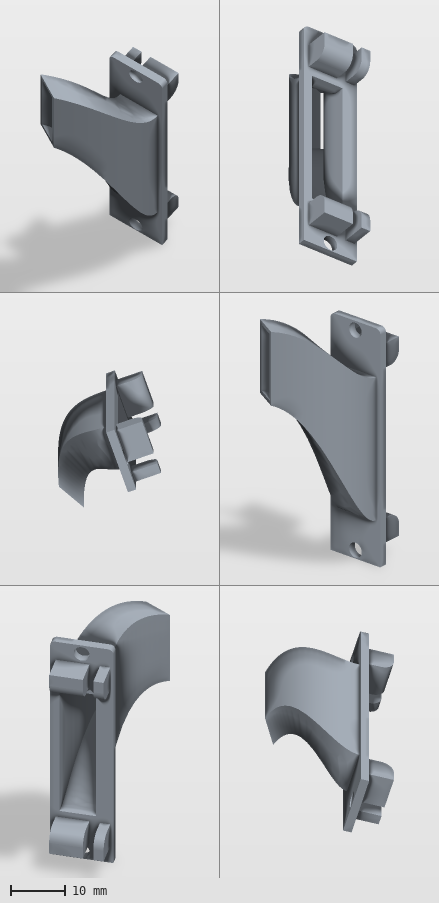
import cadquery as cq
import math

plate_width = 12.0
plate_height = 48.2
plate_thickness = 1.6
corner_radius = 1.0
hole_diameter = 3.0
lower_hole_z = 1.7
upper_hole_z = 46.3

tab_length = 5.0
tab_height = 4.9
tab_radius = 2.5
lower_tab_z = 3.75
upper_tab_z = 39.25
tab_spans = [(-5.4, -3.45), (-1.45, 4.9)]

wall = 0.8
base_left = -3.5
base_right = 4.95
base_bottom = 9.25
base_top = 38.3
mouth_left = -13.5
mouth_right = -8.25
mouth_left_reach = 11.25
mouth_right_reach = 14.3
mouth_bottom = 33.57
mouth_top = 48.55
left_base_pull = 3.9
left_mouth_pull = 10.7
left_mouth_angle = 18.0
right_base_pull = 5.85
right_mouth_pull = 10.7
right_mouth_angle = 14.0
top_mouth_rise = 1.85


def make_plate():
    plate = cq.Workplane("XY").box(
        plate_width, plate_thickness, plate_height, centered=(True, False, False)
    )
    plate = plate.edges("|Y and >Z").fillet(corner_radius)
    holes = (
        cq.Workplane("XZ")
        .pushPoints([(0, lower_hole_z), (0, upper_hole_z)])
        .circle(hole_diameter / 2)
        .extrude(-plate_thickness)
    )
    return plate.cut(holes)


def make_tab(left, right, bottom, rounded_edge):
    """Tab with its free edge rounded on the side facing the middle of the plate."""
    tab = cq.Workplane("XY").box(right - left, tab_length, tab_height, centered=False)
    tab = tab.edges("|X and >Y").edges(rounded_edge).fillet(tab_radius)
    return tab.translate((left, plate_thickness, bottom))


def rectangle_corners(left, right, bottom, top):
    """Corners around an upright rectangle whose left and right sides stand at (x, y) points."""
    return [
        cq.Vector(*left, bottom),
        cq.Vector(*right, bottom),
        cq.Vector(*right, top),
        cq.Vector(*left, top),
    ]


def make_rail(start, end, base_pull, mouth_pull, mouth_angle, mouth_rise):
    """Curved duct edge that leaves the plate squarely; mouth_rise lifts its mouth handle."""
    angle = math.radians(mouth_angle)
    base_handle = cq.Vector(0, -base_pull, 0)
    mouth_handle = cq.Vector(math.cos(angle), math.sin(angle), 0) * mouth_pull
    mouth_handle += cq.Vector(0, 0, mouth_rise)
    return cq.Edge.makeBezier([start, start + base_handle, end + mouth_handle, end])


def make_bent_body(inset):
    """Solid with four curved edges from the plate to the mouth, shrunk by inset."""
    base = rectangle_corners(
        (base_left + inset, 0), (base_right - inset, 0), base_bottom + inset, base_top - inset
    )
    mouth_x = mouth_right - mouth_left
    mouth_y = mouth_left_reach - mouth_right_reach
    mouth_width = math.hypot(mouth_x, mouth_y)
    inset_x = inset * mouth_x / mouth_width
    inset_y = inset * mouth_y / mouth_width
    mouth = rectangle_corners(
        (mouth_left + inset_x, -mouth_left_reach + inset_y),
        (mouth_right - inset_x, -mouth_right_reach - inset_y),
        mouth_bottom + inset,
        mouth_top - inset,
    )
    left_pulls = (left_base_pull, left_mouth_pull, left_mouth_angle)
    right_pulls = (right_base_pull, right_mouth_pull, right_mouth_angle)
    corner_pulls = [
        (*left_pulls, 0),
        (*right_pulls, 0),
        (*right_pulls, top_mouth_rise),
        (*left_pulls, top_mouth_rise),
    ]
    rails = [
        make_rail(start, end, *pulls)
        for start, end, pulls in zip(base, mouth, corner_pulls)
    ]
    sides = [cq.Face.makeRuledSurface(rails[i - 1], rails[i]) for i in range(len(rails))]
    ends = [
        cq.Face.makeFromWires(cq.Wire.makePolygon(corners, close=True))
        for corners in (base, mouth)
    ]
    return cq.Workplane(cq.Solid.makeSolid(cq.Shell.makeShell(sides + ends)).fix())


def make_plate_opening():
    width = base_right - base_left - 2 * wall
    height = base_top - base_bottom - 2 * wall
    opening = cq.Workplane("XY").box(width, plate_thickness, height, centered=False)
    return opening.translate((base_left + wall, 0, base_bottom + wall))


result = make_plate().union(make_bent_body(0))
for tab_left, tab_right in tab_spans:
    result = result.union(make_tab(tab_left, tab_right, lower_tab_z, ">Z"))
    result = result.union(make_tab(tab_left, tab_right, upper_tab_z, "<Z"))
result = result.cut(make_bent_body(wall)).cut(make_plate_opening()).solids()